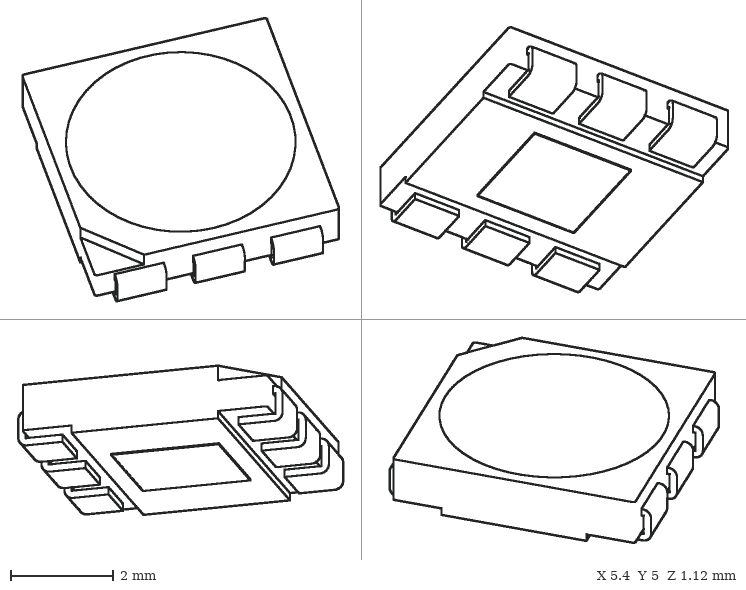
import cadquery as cq

overall_length = 5.4
body_side = 5.0
total_height = 1.12
pad_drop = 0.02

corner_radius = 0.055
step_width = 1.005
step_height = 0.15
notch_leg = 1.005
notch_depth = 0.3

lead_width = 1.005
lead_pitch = 1.6
lead_thickness = 0.15
lead_height = 0.725
bend_radius = 0.175
foot_length = 0.9
leads_per_side = 3

lens_diameter = 4.5
pad_side = 2.2

body_bottom = pad_drop
body_height = total_height - pad_drop
half_body = body_side / 2
half_length = overall_length / 2
lens_floor = lead_height
lens_depth = total_height - lens_floor


def underside_relief(side):
    """Step along the whole lead side of the underside, at +X (side = 1) or -X (side = -1)."""
    return (
        cq.Workplane("XY", origin=(side * (half_body - step_width / 2), 0, body_bottom))
        .box(step_width, body_side, step_height, centered=(True, True, False))
    )


def polarity_notch():
    """Triangular prism that takes off the top of the +X, -Y corner."""
    return (
        cq.Workplane("XY", origin=(half_body, -half_body, total_height - notch_depth))
        .polyline([(0, 0), (0, notch_leg), (-notch_leg, 0)])
        .close()
        .extrude(notch_depth)
    )


def make_lens():
    """Disc that fills the cup, flush with the top of the housing."""
    return (
        cq.Workplane("XY", origin=(0, 0, lens_floor))
        .circle(lens_diameter / 2)
        .extrude(lens_depth)
    )


def lead(side, y_center):
    """C-shaped lead that leaves the housing wall, bends down and folds under the housing."""
    outer_x = -half_length
    inner_x = outer_x + lead_thickness
    bend_x = outer_x + bend_radius
    profile = (
        cq.Workplane("XZ", origin=(0, y_center + lead_width / 2, 0))
        .moveTo(-half_body, lead_height)
        .lineTo(bend_x, lead_height)
        .radiusArc((outer_x, lead_height - bend_radius), -bend_radius)
        .lineTo(outer_x, bend_radius)
        .radiusArc((bend_x, 0), -bend_radius)
        .lineTo(outer_x + foot_length, 0)
        .lineTo(outer_x + foot_length, lead_thickness)
        .lineTo(inner_x, lead_thickness)
        .lineTo(inner_x, lead_height - lead_thickness)
        .lineTo(-half_body, lead_height - lead_thickness)
        .close()
    )
    left_lead = profile.extrude(lead_width)
    return left_lead if side < 0 else left_lead.mirror("YZ")


def make_housing():
    """Square housing with its cup, polarity notch, underside reliefs and attached leads."""
    body = (
        cq.Workplane("XY", origin=(0, 0, body_bottom))
        .box(body_side, body_side, body_height, centered=(True, True, False))
        .edges("|Z")
        .fillet(corner_radius)
        .cut(polarity_notch())
        .cut(make_lens())
    )
    for side in (-1, 1):
        body = body.cut(underside_relief(side))
        for index in range(leads_per_side):
            y_center = (index - (leads_per_side - 1) / 2) * lead_pitch
            body = body.union(lead(side, y_center))
    return body


def make_pad():
    """Thin square pad under the middle of the housing."""
    return cq.Workplane("XY").box(pad_side, pad_side, pad_drop, centered=(True, True, False))


housing = make_housing()
lens = make_lens()
pad = make_pad()

result = cq.Compound.makeCompound([*housing.solids().vals(), lens.val(), pad.val()])